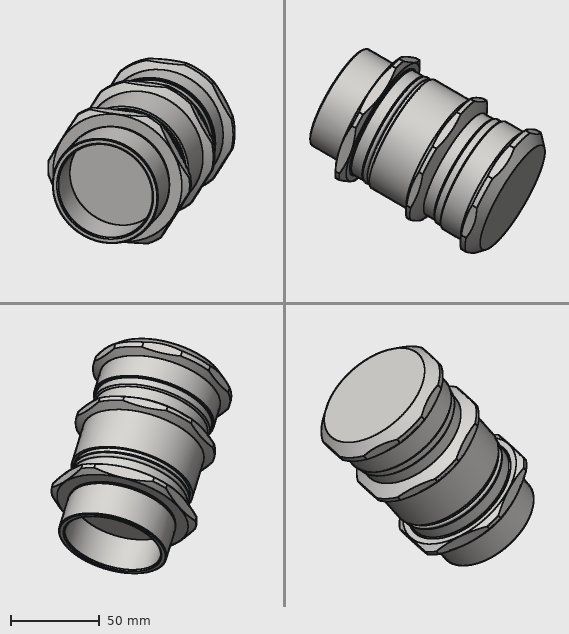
import cadquery as cq
import math

LENGTH = 116.0
ACROSS_FLATS = 77.0
CONE_SLOPE = math.tan(math.radians(30))

SPIGOT_DIA = 63.0
UNDERCUT_DIA = 62.0
SPIGOT_CHAMFER = (SPIGOT_DIA - UNDERCUT_DIA) / 2
SPIGOT_TOP = 20.4
BORE_DIA = 56.0
BORE_MOUTH_DIA = 57.5
BORE_DEPTH = 20.8

FLANGE_CORNER_DIA = 84.3
FLANGE_START = 21.9
FLANGE_END = 29.0
FLANGE_RIM_START = 24.1
FLANGE_RIM_END = 26.8

COLLAR_DIA = 68.0
COLLAR_FOOT = 0.7
RING_GROOVE_DIA = 64.9
RING_OUTER_DIA = 69.1
RING_CENTRE = 38.5
RING_RADIUS = 1.4
RING_GROOVE_WIDTH = 3.5
BODY_DIA = 70.9
BODY_START = 42.6

MIDDLE_CORNER_DIA = 81.1
MIDDLE_RIM_START = 70.4
MIDDLE_RIM_END = 73.1

NECK_DIA = 66.0
NECK_END = 84.5
UPPER_COLLAR_END = 89.8
BODY_CHAMFER = 0.6

CAP_BODY_DIA = 70.4
CAP_CORNER_DIA = 80.3
CAP_TOP_DIA = 68.0
CAP_RIM_START = 106.6


def turned(points):
    """Revolve a (diameter, y) outline, closed along the Y axis."""
    outline = [(0, points[0][1])]
    outline += [(diameter / 2, y) for diameter, y in points]
    outline.append((0, points[-1][1]))
    return cq.Workplane("XY").polyline(outline).close().revolve(360, (0, 0, 0), (0, 1, 0))


def hexagonal(points):
    """Turn an outline and cut six flats on it, with two flats facing +Z and -Z."""
    blank = turned(points)
    flats = (
        cq.Workplane("XZ")
        .polygon(6, ACROSS_FLATS / math.cos(math.pi / 6))
        .extrude(-LENGTH)
    )
    return blank.intersect(flats)


def bevel_run(large_dia, small_dia):
    return (large_dia - small_dia) / 2 * CONE_SLOPE


def make_spigot():
    return turned([
        (UNDERCUT_DIA, 0),
        (SPIGOT_DIA, SPIGOT_CHAMFER),
        (SPIGOT_DIA, SPIGOT_TOP),
        (UNDERCUT_DIA, SPIGOT_TOP + SPIGOT_CHAMFER),
        (UNDERCUT_DIA, FLANGE_START),
    ])


def make_flange():
    start_face_dia = FLANGE_CORNER_DIA - 2 * (FLANGE_RIM_START - FLANGE_START) / CONE_SLOPE
    end_face_dia = FLANGE_CORNER_DIA - 2 * (FLANGE_END - FLANGE_RIM_END) / CONE_SLOPE
    return hexagonal([
        (start_face_dia, FLANGE_START),
        (FLANGE_CORNER_DIA, FLANGE_RIM_START),
        (FLANGE_CORNER_DIA, FLANGE_RIM_END),
        (end_face_dia, FLANGE_END),
    ])


def make_lower_collar():
    groove_start = RING_CENTRE - RING_GROOVE_WIDTH / 2
    groove_end = RING_CENTRE + RING_GROOVE_WIDTH / 2
    return turned([
        (COLLAR_DIA + 2 * COLLAR_FOOT, FLANGE_END),
        (COLLAR_DIA, FLANGE_END + COLLAR_FOOT),
        (COLLAR_DIA, groove_start),
        (RING_GROOVE_DIA, groove_start),
        (RING_GROOVE_DIA, groove_end),
        (COLLAR_DIA, groove_end),
        (COLLAR_DIA, BODY_START),
    ])


def make_sealing_ring():
    outer_radius = RING_OUTER_DIA / 2
    round_centre = outer_radius - RING_RADIUS
    floor_radius = RING_GROOVE_DIA / 2
    ring_start = RING_CENTRE - RING_RADIUS
    ring_end = RING_CENTRE + RING_RADIUS
    return (
        cq.Workplane("XY")
        .moveTo(floor_radius, ring_start)
        .lineTo(round_centre, ring_start)
        .threePointArc((outer_radius, RING_CENTRE), (round_centre, ring_end))
        .lineTo(floor_radius, ring_end)
        .close()
        .revolve(360, (0, 0, 0), (0, 1, 0))
    )


def make_barrel():
    body_end = MIDDLE_RIM_START - bevel_run(MIDDLE_CORNER_DIA, BODY_DIA)
    neck_start = MIDDLE_RIM_END + bevel_run(MIDDLE_CORNER_DIA, NECK_DIA)
    return hexagonal([
        (BODY_DIA, BODY_START),
        (BODY_DIA, body_end),
        (MIDDLE_CORNER_DIA, MIDDLE_RIM_START),
        (MIDDLE_CORNER_DIA, MIDDLE_RIM_END),
        (NECK_DIA, neck_start),
        (NECK_DIA, NECK_END),
    ])


def make_cap():
    neck_chamfer = (COLLAR_DIA - NECK_DIA) / 2
    body_end = CAP_RIM_START - bevel_run(CAP_CORNER_DIA, CAP_BODY_DIA)
    rim_end = LENGTH - (CAP_CORNER_DIA - CAP_TOP_DIA) / 2
    return hexagonal([
        (NECK_DIA, NECK_END),
        (COLLAR_DIA, NECK_END + neck_chamfer),
        (COLLAR_DIA, UPPER_COLLAR_END),
        (CAP_BODY_DIA - 2 * BODY_CHAMFER, UPPER_COLLAR_END),
        (CAP_BODY_DIA, UPPER_COLLAR_END + BODY_CHAMFER),
        (CAP_BODY_DIA, body_end),
        (CAP_CORNER_DIA, CAP_RIM_START),
        (CAP_CORNER_DIA, rim_end),
        (CAP_TOP_DIA, LENGTH),
    ])


def make_bore():
    mouth_chamfer = (BORE_MOUTH_DIA - BORE_DIA) / 2
    return turned([
        (BORE_MOUTH_DIA, 0),
        (BORE_DIA, mouth_chamfer),
        (BORE_DIA, BORE_DEPTH),
    ])


result = (
    make_spigot()
    .union(make_flange())
    .union(make_lower_collar())
    .union(make_sealing_ring())
    .union(make_barrel())
    .union(make_cap())
    .cut(make_bore())
)